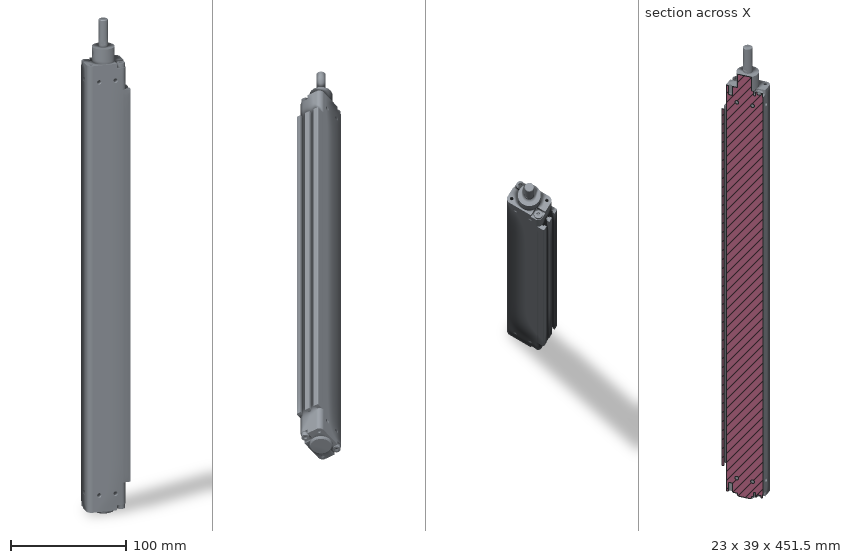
import cadquery as cq

TOTAL_LENGTH = 451.5
THREAD_LENGTH = 19.5
ROD_EXPOSED_LENGTH = 25.0
NOSE_LENGTH = 13.5
CAP_LENGTH = 25.0
BOSS_HEIGHT = 2.5

NOSE_TOP = TOTAL_LENGTH - ROD_EXPOSED_LENGTH
UPPER_CAP_TOP = NOSE_TOP - NOSE_LENGTH
TUBE_TOP = UPPER_CAP_TOP - CAP_LENGTH
TUBE_BOTTOM = BOSS_HEIGHT + CAP_LENGTH

WIDTH = 23.0
CAP_DEPTH = 35.0
CORNER_RADIUS = 4.5
RAIL_HEIGHT = 4.0
FRONT_Y = -CAP_DEPTH / 2
CAP_BACK_Y = CAP_DEPTH / 2
RAIL_BACK_Y = CAP_BACK_Y + RAIL_HEIGHT

SLOT_X = 4.5
SLOT_MOUTH_WIDTH = 4.5
SLOT_INNER_WIDTH = 6.5
SLOT_LIP_THICKNESS = 2.3

STEP_Y = 15.0
STEP_DEPTH = 0.23
RAIL_EDGE_RADIUS = 1.0

NOSE_DIAMETER = 20.0
BOSS_CHAMFER = 1.0

MOUNT_HOLE_DIAMETER = 3.1
MOUNT_HOLE_MOUTH_DIAMETER = 4.0
MOUNT_HOLE_DEPTH = 4.5
MOUNT_HOLE_HEIGHT = 9.5
SIDE_HOLE_SPACING = 15.0

CORNER_X = 7.0
CORNER_Y = 13.5
NOTCH_DEPTH = 4.5
NOTCH_REACH = 5.0
SCREW_HEAD_DIAMETER = 7.0
SCREW_HEAD_HEIGHT = 4.0
SOCKET_DIAMETER = 3.25
SOCKET_DEPTH = 2.3
END_HOLE_DIAMETER = 3.1
END_HOLE_DEPTH = 9.0

ROD_DIAMETER = 8.0
ROD_END_CHAMFER = 0.5
FLAT_WIDTH = 6.8
FLAT_LENGTH = 3.0
FLAT_ANGLE = -20.0


def cylinder(diameter, x, y, bottom, height):
    """Upright cylinder standing at the given height."""
    return cq.Workplane("XY", origin=(x, y, bottom)).circle(diameter / 2).extrude(height)


def block(x_min, x_max, y_min, y_max, bottom, height):
    """Upright box between the given limits."""
    return cq.Workplane("XY").box(x_max - x_min, y_max - y_min, height, centered=False).translate(
        (x_min, y_min, bottom)
    )


def make_tube():
    """Long body with rounded front corners and two T-slots along its back."""
    height = TUBE_TOP - TUBE_BOTTOM
    tube = block(-WIDTH / 2, WIDTH / 2, FRONT_Y, RAIL_BACK_Y, TUBE_BOTTOM, height)
    tube = tube.edges("|Z and <Y").fillet(CORNER_RADIUS)
    step = block(-WIDTH / 2, -WIDTH / 2 + STEP_DEPTH, STEP_Y, RAIL_BACK_Y, TUBE_BOTTOM, height)
    tube = tube.cut(step).cut(step.mirror("YZ"))
    tube = tube.edges("|Z and >Y").fillet(RAIL_EDGE_RADIUS)
    for x in (-SLOT_X, SLOT_X):
        half_mouth = SLOT_MOUTH_WIDTH / 2
        half_inner = SLOT_INNER_WIDTH / 2
        inner_back_y = RAIL_BACK_Y - SLOT_LIP_THICKNESS
        mouth = block(x - half_mouth, x + half_mouth, CAP_BACK_Y, RAIL_BACK_Y, TUBE_BOTTOM, height)
        inner = block(x - half_inner, x + half_inner, CAP_BACK_Y, inner_back_y, TUBE_BOTTOM, height)
        tube = tube.cut(mouth).cut(inner)
    return tube


def mounting_hole(face):
    """Blind hole running inward from a face plane, with a countersunk mouth."""
    mouth_chamfer = (MOUNT_HOLE_MOUTH_DIAMETER - MOUNT_HOLE_DIAMETER) / 2
    hole = cq.Workplane(face).circle(MOUNT_HOLE_DIAMETER / 2).extrude(MOUNT_HOLE_DEPTH)
    mouth = cq.Workplane(face).circle(MOUNT_HOLE_MOUTH_DIAMETER / 2).workplane(offset=mouth_chamfer)
    return hole.union(mouth.circle(MOUNT_HOLE_DIAMETER / 2).loft())


def cut_mounting_holes(cap):
    """One hole in the front face and two in each side face."""
    front = cq.Plane(origin=(0, FRONT_Y, MOUNT_HOLE_HEIGHT), xDir=(1, 0, 0), normal=(0, 1, 0))
    cap = cap.cut(mounting_hole(front))
    for y in (-SIDE_HOLE_SPACING / 2, SIDE_HOLE_SPACING / 2):
        left = cq.Plane(origin=(-WIDTH / 2, y, MOUNT_HOLE_HEIGHT), xDir=(0, 1, 0), normal=(1, 0, 0))
        hole = mounting_hole(left)
        cap = cap.cut(hole).cut(hole.mirror("YZ"))
    return cap


def add_corner_screw(cap, side):
    """Open corner notch holding a socket screw head; side is -1 front left, +1 back right."""
    floor = CAP_LENGTH - NOTCH_DEPTH
    x = side * CORNER_X
    y = side * CORNER_Y
    x_limits = sorted((x - side * NOTCH_REACH, side * WIDTH / 2))
    y_limits = sorted((y - side * NOTCH_REACH, side * CAP_DEPTH / 2))
    notch = block(*x_limits, *y_limits, floor, NOTCH_DEPTH)
    head_top = floor + SCREW_HEAD_HEIGHT
    head = cylinder(SCREW_HEAD_DIAMETER, x, y, floor, SCREW_HEAD_HEIGHT)
    head = head.cut(cylinder(SOCKET_DIAMETER, x, y, head_top - SOCKET_DEPTH, SOCKET_DEPTH))
    return cap.cut(notch).union(head)


def make_cap():
    """End cap standing on the tube end at height zero, outer face upward."""
    cap = block(-WIDTH / 2, WIDTH / 2, FRONT_Y, CAP_BACK_Y, 0, CAP_LENGTH)
    cap = cap.edges("|Z").fillet(CORNER_RADIUS)
    cap = cut_mounting_holes(cap)
    for side in (-1, 1):
        cap = add_corner_screw(cap, side)
        hole_bottom = CAP_LENGTH - END_HOLE_DEPTH
        hole = cylinder(END_HOLE_DIAMETER, side * CORNER_X, -side * CORNER_Y, hole_bottom, END_HOLE_DEPTH)
        cap = cap.cut(hole)
    return cap


def make_housing():
    """Tube, both caps, the nose collar and the round boss under the lower cap."""
    cap = make_cap()
    upper_cap = cap.translate((0, 0, TUBE_TOP))
    lower_cap = cap.mirror("XY").translate((0, 0, TUBE_BOTTOM))
    nose = cylinder(NOSE_DIAMETER, 0, 0, UPPER_CAP_TOP, NOSE_LENGTH)
    boss = cylinder(NOSE_DIAMETER, 0, 0, 0, BOSS_HEIGHT).faces("<Z").chamfer(BOSS_CHAMFER)
    rod_bore = cylinder(ROD_DIAMETER, 0, 0, TUBE_TOP, NOSE_TOP - TUBE_TOP)
    housing = make_tube()
    for piece in (upper_cap, lower_cap, nose, boss):
        housing = housing.union(piece, clean=False)
    return housing.cut(rod_bore, clean=False)


def make_rod():
    """Piston rod with a threaded end and two wrench flats just below the thread."""
    thread_bottom = TOTAL_LENGTH - THREAD_LENGTH
    rod = cylinder(ROD_DIAMETER, 0, 0, TUBE_TOP, thread_bottom - TUBE_TOP)
    flat_bottom = thread_bottom - FLAT_LENGTH
    half_rod = ROD_DIAMETER / 2
    flat = block(FLAT_WIDTH / 2, half_rod, -half_rod, half_rod, flat_bottom, FLAT_LENGTH)
    rod = rod.cut(flat).cut(flat.mirror("YZ"))
    rod = rod.rotate((0, 0, 0), (0, 0, 1), FLAT_ANGLE)
    thread = cylinder(ROD_DIAMETER, 0, 0, thread_bottom, THREAD_LENGTH)
    thread = thread.faces(">Z").chamfer(ROD_END_CHAMFER)
    return rod.union(thread, clean=False)


housing = make_housing()
rod = make_rod()
result = cq.Compound.makeCompound([housing.val(), rod.val()])